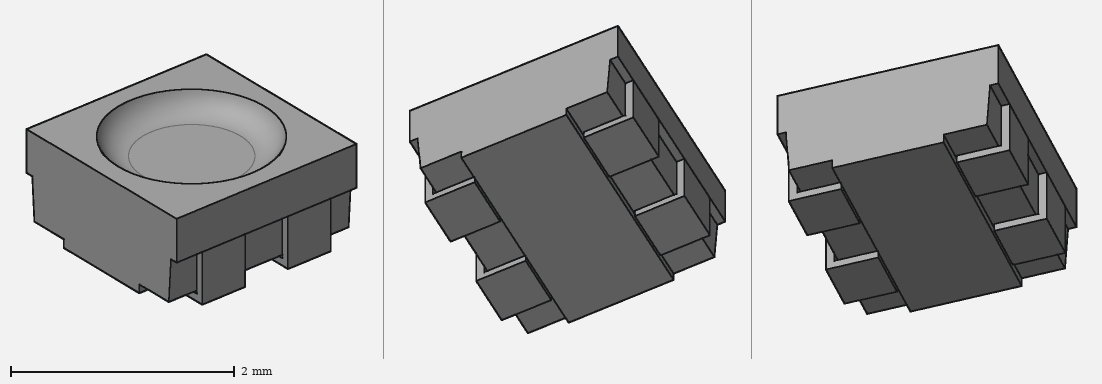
import cadquery as cq

side = 2.1
height = 1.0

lead_thickness = 0.08
lead_height = 0.545
lead_width = 0.5
lead_pitch = 2 * lead_width
foot_length = 0.5

foot_gap = 0.01
toe_gap = 0.02
side_taper = 0.03
half_side = side / 2
recess_height = lead_thickness + foot_gap
neck_half_width = half_side - lead_thickness
base_half_width = neck_half_width - side_taper
pedestal_half_width = half_side - foot_length - toe_gap

rim_radius = 0.85
floor_radius = 0.567
bowl_depth = 0.2
bowl_run = rim_radius - floor_radius
wall_radius = (bowl_run**2 + bowl_depth**2) / (2 * bowl_depth)


def extrude_along_y(profile, width, center_y):
    """Extrude a closed XZ profile, centred on center_y."""
    return profile.extrude(width / 2, both=True).translate((0, center_y, 0))


def make_bowl():
    """Flat-floored bowl, revolved about Z, that is cut from the housing."""
    floor_z = height - bowl_depth
    arc_center_z = floor_z + wall_radius
    mid_run = bowl_run / 2
    mid_z = arc_center_z - (wall_radius**2 - mid_run**2) ** 0.5
    return (
        cq.Workplane("XZ")
        .moveTo(0, floor_z)
        .lineTo(floor_radius, floor_z)
        .threePointArc((floor_radius + mid_run, mid_z), (rim_radius, height))
        .lineTo(0, height)
        .close()
        .revolve(360, (0, 0, 0), (0, 1, 0))
    )


def make_housing():
    """Block with a tapered lower part, a central pedestal and a top bowl."""
    right_half = [
        (pedestal_half_width, 0),
        (pedestal_half_width, recess_height),
        (base_half_width, recess_height),
        (neck_half_width, lead_height),
        (half_side, lead_height),
        (half_side, height),
    ]
    left_half = [(-x, z) for x, z in reversed(right_half)]
    profile = cq.Workplane("XZ").polyline(right_half + left_half).close()
    return extrude_along_y(profile, side, 0).cut(make_bowl())


def make_lead(x_sign, center_y):
    """L-shaped lead with its upright on the outer side and its foot inward."""
    outer_x = half_side
    upright_x = half_side - lead_thickness
    toe_x = half_side - foot_length
    points = [
        (outer_x, 0),
        (outer_x, lead_height),
        (upright_x, lead_height),
        (upright_x, lead_thickness),
        (toe_x, lead_thickness),
        (toe_x, 0),
    ]
    profile = cq.Workplane("XZ").polyline([(x_sign * x, z) for x, z in points]).close()
    return extrude_along_y(profile, lead_width, center_y)


housing = make_housing()
leads = [
    make_lead(x_sign, y_sign * lead_pitch / 2)
    for x_sign in (-1, 1)
    for y_sign in (-1, 1)
]

result = cq.Compound.makeCompound([housing.val(), *[lead.val() for lead in leads]])